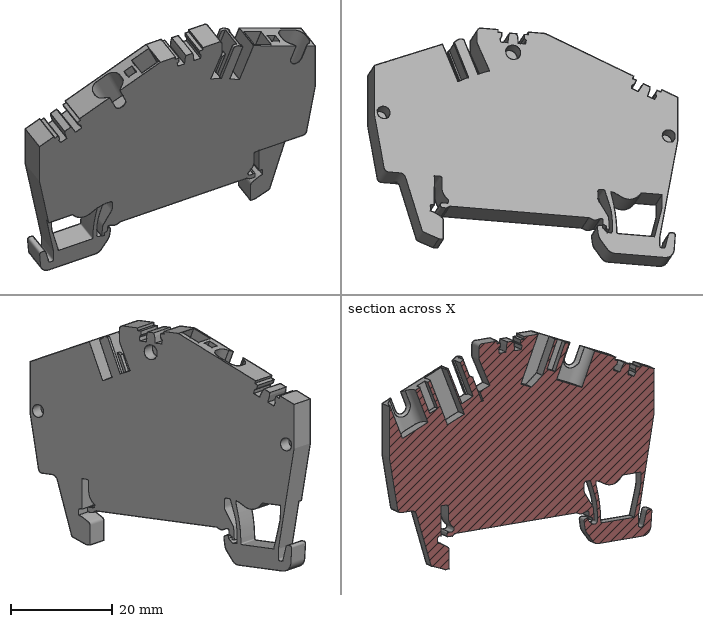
import cadquery as cq
import math

HOUSING_THICKNESS = 6.1
FOOT_THICKNESS = 5.15
END_Y = 30.7
TOP_Z = 45.1
END_WALL_FOOT_Z = 24.9
END_WALL_LEAN = 10.0
SHOULDER_Z = 13.2
RAIL_Z = 7.05
LEG_END_Z = 4.3
TAB_SLOT_Z = 1.95
SPRING_FLOOR_Z = 4.25
OVERCUT = 1.2

REAR_SLOPE = ((END_Y, 35.4), (16.95, 41.1))
FRONT_SLOPE = ((-END_Y, 33.95), (-3.8, TOP_Z))

TOP_GROOVE_Y = 2.65
FRONT_GROOVE_Y = -24.6

SPIGOT_HOLES = [(2.65, 40.6, 3.0), (28.85, 25.65, 2.6), (-28.85, 25.65, 2.6)]
SPIGOT_DEPTH = 3.1

WIRE_X = 3.1
WIRE_WIDTH = 4.9
WIRE_LENGTH = 6.25
WIRE_CORNER = 1.95
WIRE_DEPTH = 7.6
WINDOW_RADIUS = 1.2
WINDOW_DEPTH = 3.1
WINDOW_WALL = 0.85
WINDOW_FLARE = 45.0
TEST_X = 3.5
TEST_SIZE = 1.9
TEST_DEPTH = 6.15
CLAMP_X = 3.45
CLAMP_WIDTH = 4.3
CLAMP_LENGTH = 4.1
CLAMP_WALL_DEPTH = 7.6
CLAMP_DEPTH = 10.45
REAR_OPENINGS = (27.55, 22.7, 19.2, 0.0)
FRONT_OPENINGS = (-13.95, -9.15, -5.8, 1.55)

RIB_REAR_TOP = (14.55, 41.75)
RIB_REAR_FOOT = (11.65, 34.5)
RIB_FRONT_TOP = (12.65, 42.5)
RIB_FRONT_FOOT = (9.75, 35.35)
RIB_FLANGE = 0.7
RIB_REAR_RECESS = 0.35
RIB_FRONT_RECESS = 0.8
RIB_KEY_WIDTH = 1.0
RIB_KEY_HEIGHT = 0.55
RIB_KEY_START = 3.55
RIB_KEY_RAMP = 0.6
RIB_RECESS_SINK = 2.15


def rounded_outline(corners, thickness):
    """Extrude a closed (Y, Z[, radius]) outline along +X, rounding corners that give a radius."""
    stretches = []
    count = len(corners)
    for i, corner in enumerate(corners):
        here = cq.Vector(corner[0], corner[1])
        if len(corner) == 2:
            stretches.append((here, None, here))
            continue
        before = cq.Vector(*corners[i - 1][:2]).sub(here).normalized()
        after = cq.Vector(*corners[(i + 1) % count][:2]).sub(here).normalized()
        half_angle = before.getAngle(after) / 2
        bisector = before.add(after).normalized()
        setback = corner[2] / math.tan(half_angle)
        bulge = corner[2] / math.sin(half_angle) - corner[2]
        stretches.append((here.add(before.multiply(setback)),
                          here.add(bisector.multiply(bulge)),
                          here.add(after.multiply(setback))))
    outline = cq.Workplane("YZ").moveTo(*stretches[0][2].toTuple()[:2])
    for start, middle, end in stretches[1:] + stretches[:1]:
        outline = outline.lineTo(*start.toTuple()[:2])
        if middle is not None:
            outline = outline.threePointArc(middle.toTuple()[:2], end.toTuple()[:2])
    return outline.close().extrude(thickness)


def end_wall_y(z):
    """Distance of the leaning part of an end wall from the middle at the given height."""
    return END_Y - (END_WALL_FOOT_Z - z) * math.tan(math.radians(END_WALL_LEAN))


def slope_z(slope, y):
    """Height of a terminal face at the given Y."""
    (outer_y, outer_z), (inner_y, inner_z) = slope
    return outer_z + (inner_z - outer_z) * (y - outer_y) / (inner_y - outer_y)


def slope_angle(slope):
    """Downhill angle of a terminal face, in radians."""
    (outer_y, outer_z), (inner_y, inner_z) = slope
    return math.atan2(inner_z - outer_z, abs(outer_y - inner_y))


def housing():
    """Full-thickness core, listed clockwise as seen from -X, starting at the rear end."""
    return rounded_outline([
        (END_Y, END_WALL_FOOT_Z),
        *REAR_SLOPE,
        (13.8, 33.5),
        RIB_REAR_FOOT,
        RIB_REAR_TOP,
        (13.5, 42.5, 0.5),
        (*RIB_FRONT_TOP, 0.35),
        RIB_FRONT_FOOT,
        (7.4, 36.3),
        (9.95, 41.95, 1.2),
        (9.95, TOP_Z, 0.8),
        FRONT_SLOPE[1],
        FRONT_SLOPE[0],
        (-END_Y, END_WALL_FOOT_Z),
        (-end_wall_y(SHOULDER_Z), SHOULDER_Z),
        (-23.35, SHOULDER_Z),
        (-21.75, 11.35, 2.75),
        (-19.65, 11.8, 2.45),
        (-17.8, 12.8, 0.5),
        (-15.95, SHOULDER_Z),
        (-14.5, SHOULDER_Z, 0.5),
        (-14.5, 11.05, 1.2),
        (-16.65, 7.6, 1.2),
        (-16.8, 5.0),
        (-16.3, 5.0),
        (-16.3, 5.5),
        (-15.55, 5.95),
        (-15.55, RAIL_Z, 0.3),
        (-15.0, RAIL_Z),
        (-13.8, 6.6, 1.2),
        (-12.65, RAIL_Z),
        (15.5, RAIL_Z),
        (16.1, 6.65),
        (17.3, 6.65, 0.3),
        (17.3, 7.85, 0.3),
        (16.8, 7.6, 0.25),
        (15.9, 7.6, 0.35),
        (15.65, 8.2, 0.25),
        (17.05, 9.6, 3.1),
        (17.05, SHOULDER_Z, 0.4),
        (18.6, SHOULDER_Z),
        (end_wall_y(SHOULDER_Z), SHOULDER_Z, 0.9),
    ], HOUSING_THICKNESS)


def rear_foot():
    """Rigid foot that hooks under the rail."""
    return rounded_outline([
        (18.6, SHOULDER_Z + OVERCUT),
        (18.6, RAIL_Z),
        (19.4, RAIL_Z, 0.3),
        (19.4, 5.8),
        (18.65, 5.5),
        (16.75, 4.4, 0.85),
        (16.75, 0.0),
        (17.7, 0.0),
        (21.0, 1.2, 0.6),
        (24.7, SHOULDER_Z, 1.2),
        (26.1, SHOULDER_Z),
        (26.1, SHOULDER_Z + OVERCUT),
    ], FOOT_THICKNESS)


def spring_foot():
    """Closed spring loop with a latch at the rail side and a release tab at the end."""
    loop = rounded_outline([
        (-end_wall_y(SHOULDER_Z), SHOULDER_Z),
        (-end_wall_y(LEG_END_Z), LEG_END_Z),
        (-end_wall_y(LEG_END_Z), TAB_SLOT_Z, 0.4),
        (-28.05, TAB_SLOT_Z, 0.4),
        (-28.9, 5.35, 0.5),
        (-30.2, 5.35, 0.5),
        (-29.85, 0.0, 1.95),
        (-16.95, 0.0, 1.85),
        (-14.7, 3.1, 2.45),
        (-14.3, 5.65, 0.5),
        (-15.5, 5.65),
        (-15.5, 5.15),
        (-16.45, SPRING_FLOOR_Z),
        (-17.45, SPRING_FLOOR_Z, 0.5),
        (-17.45, 8.35, 12.3),
        (-15.85, SHOULDER_Z, 0.3),
        (-14.5, SHOULDER_Z),
        (-14.5, SHOULDER_Z + OVERCUT),
        (-end_wall_y(SHOULDER_Z), SHOULDER_Z + OVERCUT),
    ], FOOT_THICKNESS)
    opening = rounded_outline([
        (-17.2, SHOULDER_Z),
        (-27.5, SHOULDER_Z),
        (-27.5, 10.45, 7.35),
        (-26.0, SPRING_FLOOR_Z),
        (-18.35, SPRING_FLOOR_Z, 0.25),
        (-18.25, 8.0, 25.8),
        (-17.2, 12.45),
    ], FOOT_THICKNESS)
    return loop.cut(opening)


def marker_groove(y, z, downhill_angle):
    """Stepped groove with undercut sides and a central post, tilted with its face."""
    step_half, step_depth = 3.1, 0.55
    half = [
        (step_half, OVERCUT),
        (step_half, -step_depth),
        (2.3, -step_depth),
        (2.3, -1.35),
        (2.65, -1.85),
        (2.5, -2.6),
        (1.05, -2.6),
        (0.9, -1.2),
        (0.75, -step_depth),
    ]
    mirrored = [(-across, height) for across, height in reversed(half)]
    groove = cq.Workplane("YZ").polyline(half + mirrored).close().extrude(HOUSING_THICKNESS)
    tilt = math.degrees(downhill_angle)
    return groove.rotate((0, 0, 0), (1, 0, 0), tilt).translate((0, y, z))


def terminal_openings(slope, wire_y, test_y, clamp_y, clamp_lean):
    """Wire hole with side window, test socket and clamp pocket, all square to a terminal face."""
    side = math.copysign(1, slope[0][0])
    angle = slope_angle(slope)
    outward = (0, side * math.sin(angle), math.cos(angle))
    downhill = (0, side * math.cos(angle), -math.sin(angle))

    def face_plane(x, y):
        return cq.Workplane(cq.Plane((x, y, slope_z(slope, y)), (1, 0, 0), outward))

    def section_plane(x, y):
        return cq.Workplane(cq.Plane((x, y, slope_z(slope, y)), downhill, (side, 0, 0)))

    wire_hole = (face_plane(WIRE_X, wire_y).workplane(offset=-WIRE_DEPTH)
                 .rect(WIRE_WIDTH, WIRE_LENGTH).extrude(WIRE_DEPTH + OVERCUT)
                 .edges(cq.selectors.ParallelDirSelector(cq.Vector(outward))).fillet(WIRE_CORNER))

    window_plane = cq.Plane((HOUSING_THICKNESS, wire_y, slope_z(slope, wire_y)), outward, (-1, 0, 0))
    window = (cq.Workplane(window_plane)
              .slot2D(2 * (WINDOW_DEPTH + WINDOW_RADIUS), 2 * WINDOW_RADIUS)
              .extrude(WINDOW_WALL, taper=-WINDOW_FLARE))

    test_socket = (face_plane(TEST_X, test_y).workplane(offset=-TEST_DEPTH)
                   .rect(TEST_SIZE, TEST_SIZE).extrude(TEST_DEPTH + OVERCUT))

    half_length = CLAMP_LENGTH / 2
    clamp_pocket = (section_plane(CLAMP_X, clamp_y)
                    .polyline([(-half_length, 0), (half_length, 0),
                               (half_length, -CLAMP_WALL_DEPTH),
                               (half_length - clamp_lean, -CLAMP_DEPTH),
                               (-half_length, -CLAMP_DEPTH)])
                    .close().extrude(CLAMP_WIDTH / 2, both=True))
    return wire_hole.union(window).union(test_socket).union(clamp_pocket)


def rib_recesses():
    """Thin the middle of the rib from both sides, leaving a key low on its front side."""
    run_y = RIB_FRONT_FOOT[0] - RIB_FRONT_TOP[0]
    run_z = RIB_FRONT_FOOT[1] - RIB_FRONT_TOP[1]
    length = math.hypot(run_y, run_z)
    down = (0, run_y / length, run_z / length)
    width = HOUSING_THICKNESS - 2 * RIB_FLANGE

    def rib_plane(corner):
        return cq.Workplane(cq.Plane((RIB_FLANGE, *corner), down, (1, 0, 0)))

    rear_reach = length + OVERCUT
    rear = (rib_plane(RIB_REAR_FOOT)
            .polyline([(-rear_reach, 0), (0, 0), (0, -RIB_REAR_RECESS), (-rear_reach, -RIB_REAR_RECESS)])
            .close().extrude(width))

    front_end = length + RIB_RECESS_SINK
    front = (rib_plane(RIB_FRONT_TOP)
             .polyline([(-OVERCUT, 0), (front_end, 0),
                        (front_end, RIB_FRONT_RECESS), (-OVERCUT, RIB_FRONT_RECESS)])
             .close().extrude(width))

    key_crest = RIB_FRONT_RECESS - RIB_KEY_HEIGHT
    key = (rib_plane(RIB_FRONT_TOP).workplane(offset=(width - RIB_KEY_WIDTH) / 2)
           .polyline([(RIB_KEY_START, RIB_FRONT_RECESS), (RIB_KEY_START + RIB_KEY_RAMP, key_crest),
                      (front_end, key_crest), (front_end, RIB_FRONT_RECESS)])
           .close().extrude(RIB_KEY_WIDTH))
    return rear.union(front.cut(key))


def spigot_holes():
    """Round blind holes that locate the neighbouring block."""
    holes = cq.Workplane("YZ")
    for y, z, diameter in SPIGOT_HOLES:
        holes = holes.union(cq.Workplane("YZ").center(y, z).circle(diameter / 2).extrude(SPIGOT_DEPTH))
    return holes


result = (
    housing()
    .union(rear_foot())
    .union(spring_foot())
    .cut(marker_groove(TOP_GROOVE_Y, TOP_Z, 0))
    .cut(marker_groove(FRONT_GROOVE_Y, slope_z(FRONT_SLOPE, FRONT_GROOVE_Y), slope_angle(FRONT_SLOPE)))
    .cut(terminal_openings(REAR_SLOPE, *REAR_OPENINGS))
    .cut(terminal_openings(FRONT_SLOPE, *FRONT_OPENINGS))
    .cut(rib_recesses())
    .cut(spigot_holes())
    .clean()
)